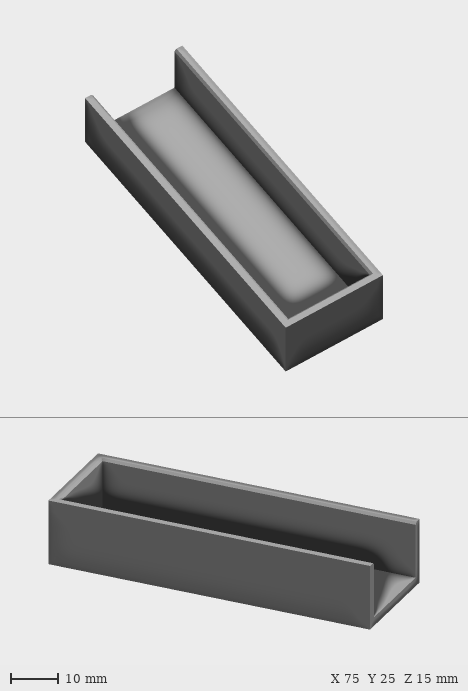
import cadquery as cq

length = 75.0
width = 25.0
height = 15.0

wall = 2.0
floor = 2.0
bevel = 0.5

cavity_length = length - wall
cavity_width = width - 2 * wall


def block(x_size, y_size, z_size):
    """Box starting at X = 0, centred on Y and standing on Z = 0."""
    return cq.Workplane("XY").box(x_size, y_size, z_size, centered=(False, True, False))


cavity = block(cavity_length, cavity_width, height - floor).translate((0, 0, floor))
tray = block(length, width, height).cut(cavity)

margin = wall / 2
half_span = cavity_width / 2 + margin
inner_rim = cq.selectors.BoxSelector(
    (margin, -half_span, height - margin),
    (cavity_length + margin, half_span, height + margin),
)
result = tray.edges(inner_rim).chamfer(bevel)